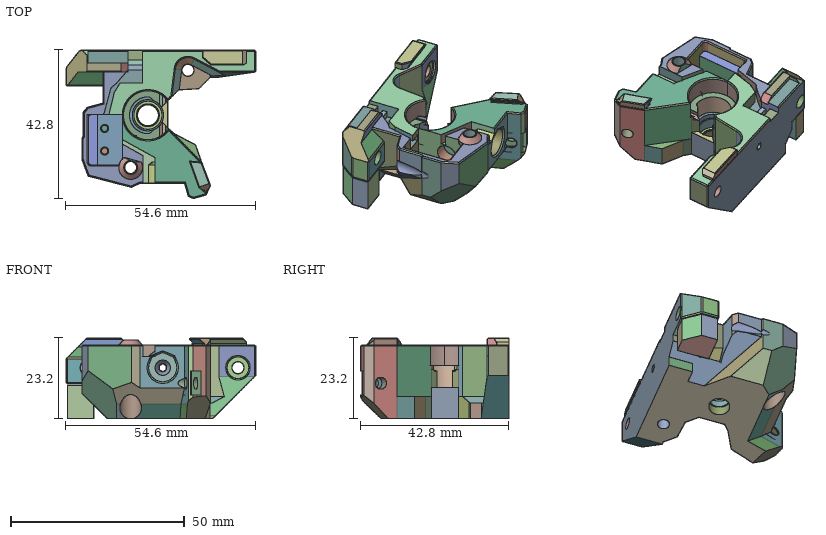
import cadquery as cq
import math


LENGTH = 54.63
DEPTH = 42.77
HEIGHT = 23.2
DECK_Z = HEIGHT - 2.0
EDGE = 0.35
BIG = 200.0
SCREW_Z = 14.65

LEG_X = 10.6
WALL_X = 4.52
WALL_STEP_X = 4.94
WALL_STEP_Y = 17.4
FRONT_Y = 4.4
WING_FRONT_Y = 36.4
THROAT_X = 29.3
THROAT_BACK_Y = 28.16
THROAT_FRONT_Y = 20.36
BORE = (23.57, 24.0)
ARM_TIP = (41.6, 3.8)
ARM_ROOT = (39.05, 10.5)
ARM_LEFT_ROOT = (34.1, FRONT_Y)
ARM_LEFT_TIP = (35.2, 0.65)

REAR_SCREW = (35.1, 36.96)
REAR_POCKET_R = 3.65
REAR_POCKET_LEDGE_Z = 6.35
REAR_POCKET_FLOOR_Z = 4.5
SCREW_HOLE_D = 3.4
WALL_END = (44.0, WING_FRONT_Y)
WALL_LEFT_ANGLE = 175.0
WALL_RIGHT_ANGLE = 61.0


def half_space(point, outward):
    """Large block that fills the outward side of a plane."""
    x_dir = (0, 1, 0) if outward[1] == 0 else (outward[1], -outward[0], 0)
    plane = cq.Plane(origin=point, xDir=x_dir, normal=outward)
    return cq.Workplane(plane).rect(2 * BIG, 2 * BIG).extrude(BIG)


def box(x0, x1, y0, y1, z0, z1):
    return cq.Workplane("XY").box(x1 - x0, y1 - y0, z1 - z0, centered=False).translate((x0, y0, z0))


def prism(points, z0, z1):
    return cq.Workplane("XY").workplane(offset=z0).polyline(points).close().extrude(z1 - z0)


def cylinder(center, diameter, z0, z1):
    return cq.Workplane("XY").workplane(offset=z0).center(*center).circle(diameter / 2).extrude(z1 - z0)


def rod(start, direction, diameter, length, end_diameter=None):
    """Cylinder, or cone when an end diameter is given, along any direction."""
    base = cq.Vector(*start)
    axis = cq.Vector(*direction)
    if end_diameter is None:
        solid = cq.Solid.makeCylinder(diameter / 2, length, base, axis)
    else:
        solid = cq.Solid.makeCone(diameter / 2, end_diameter / 2, length, base, axis)
    return cq.Workplane(solid)


def around_rear_screw(angle):
    a = math.radians(angle)
    return (REAR_SCREW[0] + REAR_POCKET_R * math.cos(a), REAR_SCREW[1] + REAR_POCKET_R * math.sin(a))


POCKET_LEFT = around_rear_screw(WALL_LEFT_ANGLE)
POCKET_TOP = around_rear_screw((WALL_LEFT_ANGLE + WALL_RIGHT_ANGLE) / 2)
POCKET_RIGHT = around_rear_screw(WALL_RIGHT_ANGLE)
POCKET_MOUTH = (30.5, 29.4)
ALONG_WALL = (WALL_END[0] - POCKET_RIGHT[0], WALL_END[1] - POCKET_RIGHT[1])


def deck_blank():
    """Full-height plan with a chamfered upper rim."""
    plan = (
        cq.Workplane("XY")
        .moveTo(LEG_X, DEPTH)
        .lineTo(LENGTH, DEPTH)
        .lineTo(LENGTH, WING_FRONT_Y)
        .lineTo(*WALL_END)
        .lineTo(*POCKET_RIGHT)
        .threePointArc(POCKET_TOP, POCKET_LEFT)
        .lineTo(*POCKET_MOUTH)
        .lineTo(THROAT_X, THROAT_BACK_Y)
        .lineTo(THROAT_X, THROAT_FRONT_Y)
        .lineTo(*ARM_ROOT)
        .lineTo(*ARM_TIP)
        .lineTo(40.3, 1.0)
        .lineTo(36.6, 0.0)
        .lineTo(*ARM_LEFT_TIP)
        .lineTo(*ARM_LEFT_ROOT)
        .lineTo(21.3, FRONT_Y)
        .lineTo(18.84, 3.23)
        .lineTo(6.35, 6.46)
        .lineTo(WALL_X, 11.36)
        .lineTo(WALL_X, WALL_STEP_Y)
        .lineTo(WALL_STEP_X, WALL_STEP_Y + WALL_STEP_X - WALL_X)
        .lineTo(WALL_STEP_X, 24.85)
        .lineTo(6.14, 26.3)
        .lineTo(LEG_X, 27.5)
        .close()
    )
    return plan.extrude(DECK_Z).edges("|Z and >X").chamfer(EDGE).faces(">Z").edges().chamfer(EDGE)


def rear_pocket_floor():
    """Low floor around the rear screw, with the sloping foot of the pocket wall."""
    floor_plan = [
        (28.0, 29.4), (THROAT_X, THROAT_BACK_Y), (32.4, 31.27), (38.2, 31.6), (41.4, 34.8),
        (41.4, 42.0), (30.0, 42.0),
    ]
    return prism(floor_plan, 0, REAR_POCKET_LEDGE_Z)


def rear_pocket_foot():
    """Tapered void below the upright pocket wall."""
    far_end = (WALL_END[0] + ALONG_WALL[0], WALL_END[1] + ALONG_WALL[1])
    mouth_y = 20.0
    return (
        cq.Workplane("XY")
        .workplane(offset=REAR_POCKET_LEDGE_Z)
        .moveTo(*POCKET_LEFT)
        .threePointArc(POCKET_TOP, POCKET_RIGHT)
        .lineTo(*far_end)
        .lineTo(far_end[0], mouth_y)
        .lineTo(POCKET_MOUTH[0], mouth_y)
        .lineTo(*POCKET_MOUTH)
        .close()
        .extrude(REAR_POCKET_FLOOR_Z - REAR_POCKET_LEDGE_Z, taper=45)
    )


def right_wing_flare():
    """The right wing thickens towards the front below its screw face."""
    flare_top_z = 12.1
    flare_foot_z = 0.9
    flare_y = 34.8
    profile = [
        (DEPTH, 0), (flare_y, 0), (flare_y, flare_foot_z), (WING_FRONT_Y, flare_top_z), (DEPTH, flare_top_z),
    ]
    flare_left_x = 41.0
    flare = cq.Workplane("YZ").workplane(offset=flare_left_x).polyline(profile).close()
    flare = flare.extrude(LENGTH - flare_left_x)
    pocket_side = half_space((*WALL_END, 0), (ALONG_WALL[1], -ALONG_WALL[0], 0))
    above_ledge = pocket_side.intersect(half_space((0, 0, REAR_POCKET_LEDGE_Z), (0, 0, 1)))
    return flare.cut(above_ledge)


def arm_ledge():
    """Low shelf on the right of the arm."""
    ledge_plan = [
        (28.0, THROAT_FRONT_Y), (THROAT_X, THROAT_FRONT_Y), (31.16, 18.7), (37.3, 15.5),
        ARM_ROOT, (36.0, 10.5),
    ]
    return prism(ledge_plan, 0, REAR_POCKET_LEDGE_Z)


def cut_bevels(body):
    arm_dx = ARM_LEFT_TIP[0] - ARM_LEFT_ROOT[0]
    arm_dy = ARM_LEFT_TIP[1] - ARM_LEFT_ROOT[1]
    left_of_arm = half_space((*ARM_LEFT_ROOT, 0), (arm_dy, -arm_dx, 0))

    lean_top_z = 8.84
    knee_y = 7.85
    knee_z = 4.17
    steep = half_space((0, FRONT_Y, lean_top_z), (0, knee_z - lean_top_z, FRONT_Y - knee_y))
    shallow = half_space((0, knee_y, knee_z), (0, -1, -1))
    body = body.cut(steep.intersect(left_of_arm)).cut(shallow.intersect(left_of_arm))
    arm_lean = 0.22
    lean_drop = arm_lean * math.hypot(arm_dx, arm_dy)
    under_arm = half_space((*ARM_LEFT_ROOT, knee_z), (arm_dy, -arm_dx, -lean_drop))
    body = body.cut(under_arm.intersect(shallow).intersect(half_space((0, 0, knee_z), (0, 0, -1))))

    side_z = 7.33
    corner_sum = 26.6
    right_x = 42.2
    body = body.cut(half_space((WALL_X, 0, side_z), (-1, 0, -1)))
    body = body.cut(half_space((corner_sum, 0, 0), (-1, -1, -1)))
    tip_dx = ARM_TIP[0] - ARM_ROOT[0]
    tip_dy = ARM_TIP[1] - ARM_ROOT[1]
    tip_bevel_z = 6.2
    body = body.cut(half_space((36.6, 0, tip_bevel_z), (tip_dx, tip_dy, -math.hypot(tip_dx, tip_dy))))
    body = body.cut(half_space((right_x, 0, 0), (1, 0, -1)))

    roof_sum = 17.8
    hollow_back_y = 35.6
    foot_x = 14.0
    leg_bevel_z = 10.4
    leg_bevel = half_space((LEG_X, 27.5, leg_bevel_z), (-1, -0.44, -1))
    leg_bevel_end_z = 5.65
    leg = box(LEG_X, 20.0, 27.5, hollow_back_y, leg_bevel_end_z, leg_bevel_z)
    under_roof = half_space((roof_sum, 0, 0), (-1, 0, -1))
    diagonal = half_space((WALL_X, WALL_STEP_Y, 0), (-1, 1, 0))
    front_part = box(0, roof_sum, 0, hollow_back_y, 0, DECK_Z)
    back_part = box(0, foot_x, hollow_back_y, DEPTH, 0, DECK_Z)
    body = body.cut(under_roof.intersect(diagonal).intersect(front_part))
    return body.cut(under_roof.intersect(back_part)).cut(leg_bevel.intersect(diagonal).intersect(leg))


WING_BOTTOM_Z = 10.05
LEFT_WING_FRONT_Y = 32.4
WING_CORNER = (3.98, 37.7)
RAIL_FRONT_Y = 36.4
RAIL_END_X = 17.8
RAIL_LEFT_X = 6.0
END_SLOPE_X = RAIL_LEFT_X - HEIGHT


def left_wing():
    """Mounting wing with a sloping eave, a sloping left end and a rail on top."""
    root_x = 12.0
    shoulder_y = 36.9
    shoulder_z = 21.0
    eave_z = 17.5
    strip_y = 39.1
    strip_step = 1.1
    rail_end_top_x = RAIL_END_X - (HEIGHT - DECK_Z)
    plan = [
        (0, LEFT_WING_FRONT_Y), (0, WING_CORNER[1]), (WING_CORNER[0], DEPTH), (RAIL_END_X, DEPTH),
        (RAIL_END_X, RAIL_FRONT_Y), (LEG_X, RAIL_FRONT_Y), (LEG_X, LEFT_WING_FRONT_Y),
    ]
    wing = prism(plan, WING_BOTTOM_Z, HEIGHT)
    lower_outer_edges = cq.selectors.BoxSelector((-1, 0, 0), (5.8, DEPTH + 1, HEIGHT - 6))
    wing = wing.edges(lower_outer_edges).chamfer(EDGE)
    in_front_of_rail = box(0, root_x, 0, RAIL_FRONT_Y, 0, HEIGHT)
    eave_normal = (0, eave_z - shoulder_z, shoulder_y - LEFT_WING_FRONT_Y)
    eave = half_space((0, LEFT_WING_FRONT_Y, eave_z), eave_normal)
    wing = wing.cut(eave.intersect(in_front_of_rail))
    wing = wing.cut(half_space((END_SLOPE_X, 0, 0), (-1, 0, 1)))
    eave_edge = cq.selectors.BoxSelector((3, 0, eave_z - 1), (7, RAIL_FRONT_Y - 1, eave_z + 1))
    wing = wing.edges(eave_edge).chamfer(EDGE)
    wing = wing.cut(box(RAIL_LEFT_X + EDGE, RAIL_END_X, strip_y, DEPTH, HEIGHT - strip_step, HEIGHT))
    front_strip = box(rail_end_top_x, RAIL_END_X, 0, strip_y, 0, HEIGHT)
    wing = wing.cut(half_space((RAIL_END_X, 0, DECK_Z), (1, 0, 1)).intersect(front_strip))
    rail_edge = half_space((0, RAIL_FRONT_Y, HEIGHT - EDGE), (0, -1, 1))
    back_edge = half_space((0, DEPTH - EDGE, HEIGHT - strip_step), (0, 1, 1))
    rail = box(0, RAIL_END_X, RAIL_FRONT_Y, DEPTH, DECK_Z, HEIGHT)
    return wing.cut(rail_edge.intersect(rail)).cut(back_edge)


RAIL_EDGE = 0.25


def right_rail():
    """Rail on the right wing with an undercut front face."""
    left_x = 39.25
    right_x = 52.0
    front_y = 38.5
    corner = 2.4
    undercut = 0.8
    neck_z = DECK_Z + 0.4
    lip_z = HEIGHT - EDGE
    plan = [
        (left_x, DEPTH), (left_x, front_y + corner - 0.3), (left_x + corner, front_y),
        (right_x, front_y), (right_x, DEPTH),
    ]
    rail = prism(plan, DECK_Z, HEIGHT).faces(">Z").edges().chamfer(RAIL_EDGE)
    groove_profile = [
        (front_y - 1, lip_z), (front_y, lip_z), (front_y + undercut, neck_z), (front_y + undercut, DECK_Z),
        (front_y - 1, DECK_Z),
    ]
    groove = cq.Workplane("YZ").workplane(offset=left_x).polyline(groove_profile).close()
    groove = groove.extrude(right_x - left_x)
    end_drop = 1.2
    return rail.cut(groove).cut(half_space((right_x, 0, HEIGHT - end_drop), (1, 0, 1)))


def arm_rail():
    """Rail along the outer edge of the arm with an undercut inner face."""
    inner_root = (35.5, 10.8)
    inner_tip = (38.2, 3.25)
    undercut = 0.8
    plan = [inner_root, ARM_ROOT, ARM_TIP, (40.3, 1.5), inner_tip]
    rail = prism(plan, DECK_Z, HEIGHT).faces(">Z").edges().chamfer(RAIL_EDGE)
    dx = inner_tip[0] - inner_root[0]
    dy = inner_tip[1] - inner_root[1]
    under = half_space((*inner_root, HEIGHT - EDGE), (dy, -dx, -math.hypot(dx, dy)))
    neck = half_space((inner_root[0] + undercut, inner_root[1], 0), (dy, -dx, 0)).union(
        half_space((inner_root[0], inner_root[1], DECK_Z + 0.4), (0, 0, 1)))
    tip_slope = half_space((*inner_tip, HEIGHT), (dx, dy, math.hypot(dx, dy)))
    return rail.cut(under.intersect(neck)).cut(tip_slope)


FRONT_SCREW = (18.6, 8.95)


def front_screw_boss():
    """Cone that stands on the deck around the front screw."""
    base_d = 6.85
    top_d = 4.0
    cone_height = 1.5
    skirt = 1.2
    cone = rod((*FRONT_SCREW, DECK_Z), (0, 0, 1), base_d, cone_height, top_d)
    cone = cone.cut(half_space((19.2, 11.2, DECK_Z), (0.27, 0.96, 0.3)))
    return cone.union(cylinder(FRONT_SCREW, base_d, DECK_Z - skirt, DECK_Z))


TENSION_X = 27.84
TENSION_END_Y = 10.5


def spring_barrel():
    """Wall around the spring bore that shows inside the front notch."""
    barrel_d = 10.4
    nose = 0.8
    length = TENSION_END_Y - FRONT_Y - nose
    start = (TENSION_X, FRONT_Y, SCREW_Z)
    nose_start = (TENSION_X, TENSION_END_Y - nose, SCREW_Z)
    barrel = rod(start, (0, 1, 0), barrel_d, length)
    return barrel.union(rod(nose_start, (0, 1, 0), barrel_d, nose, barrel_d - 2 * nose))


CHANNEL_Z = 17.2


def drive_bore():
    """Stepped vertical bore, open to the right through the throat."""
    recess_z = 15.3
    recess_d = 14.1
    floor_z = 9.0
    steps = [
        (recess_d, recess_z, DECK_Z), (9.0, 7.5, recess_z), (8.1, 4.0, 7.5), (6.6, 3.7, 4.0), (6.0, 0.0, 3.7),
    ]
    bore = rod((*BORE, DECK_Z - EDGE), (0, 0, 1), recess_d, EDGE, recess_d + 2 * EDGE)
    for diameter, z0, z1 in steps:
        bore = bore.union(cylinder(BORE, diameter, z0, z1))
    corner_reach = 5.8
    seat = cylinder(BORE, 10.6, floor_z, recess_z)
    for side in (-1, 1):
        seat = seat.cut(half_space((BORE[0] + corner_reach, BORE[1], 0), (1, side, 0)))
    bore = bore.union(seat)
    inner_x = 27.6
    flare = THROAT_X - inner_x
    throat = [
        (BORE[0], THROAT_BACK_Y - flare), (inner_x, THROAT_BACK_Y - flare), (THROAT_X, THROAT_BACK_Y),
        (THROAT_X, THROAT_FRONT_Y), (inner_x, THROAT_FRONT_Y + flare), (BORE[0], THROAT_FRONT_Y + flare),
    ]
    return bore.union(prism(throat, floor_z, recess_z))


def board_pocket():
    """Deep pocket with a raised shelf on the left and two small blind holes."""
    left_x = 6.4
    right_x = 16.25
    front_y = 9.7
    back_y = 24.2
    shelf_x = 9.0
    floor_z = 10.0
    corner_r = 1.0
    hole_x = 11.1
    hole_depth = 4.0
    pilot_d = 1.8
    pilot_rim_d = 2.3
    pocket = box(left_x, right_x, front_y, back_y, CHANNEL_Z, DECK_Z).edges("|Z and <X").fillet(corner_r)
    rim_outline = cq.Sketch().rect(2 * (right_x - left_x + EDGE), 2 * (back_y - front_y + EDGE))
    rim_outline = rim_outline.vertices().fillet(corner_r + EDGE)
    rim = cq.Workplane("XY").workplane(offset=DECK_Z).center(right_x, back_y)
    rim = rim.placeSketch(rim_outline).extrude(-EDGE, taper=45)
    rim = rim.intersect(box(0, right_x, 0, back_y, 0, HEIGHT))
    pocket = pocket.union(rim).union(box(shelf_x, right_x, front_y, back_y, floor_z, DECK_Z))
    for hole_y in (20.2, 13.7):
        pocket = pocket.union(cylinder((hole_x, hole_y), pilot_d, floor_z - hole_depth, floor_z))
        lead_in = (pilot_rim_d - pilot_d) / 2
        rim_start = (hole_x, hole_y, floor_z - lead_in)
        pocket = pocket.union(rod(rim_start, (0, 0, 1), pilot_d, lead_in, pilot_rim_d))
    tunnel_d = 5.9
    tunnel_y = 15.2
    return pocket.union(rod((right_x, tunnel_y, SCREW_Z), (1, 0, 0), tunnel_d, 4.0))


def wire_channel():
    """Channel from the rear slot round to the board pocket."""
    slot_left = RAIL_END_X
    slot_right = 22.0
    slot_front = 33.3
    path = [
        (slot_left, 37.0), (14.6, slot_front), (12.9, 31.8), (10.8, 24.0), (12.3, 24.0), (13.9, 30.6),
        (15.6, slot_front), (slot_right, slot_front), (slot_right, 37.0),
    ]
    channel = prism(path, CHANNEL_Z, DECK_Z)
    channel = channel.union(box(10.8, 15.6, 24.0, 27.0, CHANNEL_Z, 19.2))
    for y0, y1, floor_z in [(37.0, 38.4, 19.0), (38.4, 39.9, CHANNEL_Z), (39.9, DEPTH, 20.0)]:
        channel = channel.union(box(slot_left, slot_right, y0, y1, floor_z, HEIGHT))
    return channel


def front_channel():
    """Diagonal slit from the board pocket that widens into a notch in the front face."""
    notch_left = 22.1
    notch_right = 25.6
    floor_z = 17.9
    path = [
        (16.2, 17.0), (notch_right, 11.8), (notch_right, 0), (notch_left, 0),
        (notch_left, 12.4), (16.2, 15.7),
    ]
    return prism(path, floor_z, DECK_Z).cut(spring_barrel())


def flat_top(diameter, length, taper=0):
    """Octagon inscribed around the spring bore's upper half, which squares off its crown."""
    plane = cq.Plane(origin=(TENSION_X, FRONT_Y, SCREW_Z), xDir=(-1, 0, 0), normal=(0, 1, 0))
    octagon = cq.Workplane(plane).transformed(rotate=(0, 0, 22.5)).polygon(8, diameter, circumscribed=True)
    upper = box(0, LENGTH, 0, DEPTH, SCREW_Z + diameter / 4, HEIGHT)
    return octagon.extrude(length, taper=taper).intersect(upper)


def tension_bore():
    """Spring bore in the front face with a screw hole and a hexagonal through hole."""
    x = TENSION_X
    bore_d = 8.1
    rim_d = 9.0
    screw_d = 4.4
    screw_end_y = 14.0
    hex_d = 2.3
    lead_in = (rim_d - bore_d) / 2
    bore = rod((x, FRONT_Y, SCREW_Z), (0, 1, 0), bore_d, TENSION_END_Y - FRONT_Y)
    bore = bore.union(flat_top(bore_d, TENSION_END_Y - FRONT_Y))
    bore = bore.union(rod((x, FRONT_Y, SCREW_Z), (0, 1, 0), rim_d, lead_in, bore_d))
    bore = bore.union(flat_top(rim_d, lead_in, taper=45))
    screw_start = (x, TENSION_END_Y, SCREW_Z)
    bore = bore.union(rod(screw_start, (0, 1, 0), screw_d, screw_end_y - TENSION_END_Y, hex_d))
    plane = cq.Plane(origin=(x, FRONT_Y, SCREW_Z), xDir=(0, 0, 1), normal=(0, 1, 0))
    return bore.union(cq.Workplane(plane).polygon(6, hex_d).extrude(DEPTH - FRONT_Y))


def front_screw_hole():
    """Vertical screw hole with a head bore from below."""
    head_d = 6.25
    head_end_z = 14.0
    return cylinder(FRONT_SCREW, SCREW_HOLE_D, 0, HEIGHT).union(cylinder(FRONT_SCREW, head_d, 0, head_end_z))


def wing_screw_holes():
    """Mounting holes through both wings, and the slanted tool groove in the left wall."""
    left_x = 6.2
    right_x = 49.5
    left_d = 4.2
    seat_d = 6.25
    seat_rim_d = 7.05
    seat_depth = 0.8
    right = rod((right_x, WING_FRONT_Y, SCREW_Z), (0, 1, 0), SCREW_HOLE_D, DEPTH)
    seat_start = (right_x, WING_FRONT_Y - seat_depth, SCREW_Z)
    seat = rod(seat_start, (0, 1, 0), seat_d, 2 * seat_depth)
    rim = rod((right_x, WING_FRONT_Y, SCREW_Z), (0, 1, 0), seat_rim_d, (seat_rim_d - seat_d) / 2, seat_d)
    left = rod((left_x, LEFT_WING_FRONT_Y, SCREW_Z), (0, 1, 0), left_d, DEPTH)
    groove_start = (5.1, 31.0, SCREW_Z)
    groove_d = 4.4
    groove_lean = -0.18
    groove = rod(groove_start, (groove_lean, -1, 0), groove_d, 20.0)
    return right.union(seat).union(rim).union(left).union(groove)


def arm_screw():
    """Cross hole through the arm with a nut slot entered from the tip."""
    z = 10.2
    crossing = (36.0, 4.0)
    nut_width = 2.8
    nut_height = 6.9
    nut_depth = 3.2
    dx = ARM_TIP[0] - ARM_ROOT[0]
    dy = ARM_TIP[1] - ARM_ROOT[1]
    reach = 8.0
    span = math.hypot(dx, dy)
    across = (-dy / span, dx / span, 0)
    start = (crossing[0] - reach * across[0], crossing[1] - reach * across[1], z)
    hole = rod(start, across, SCREW_HOLE_D, 2 * reach)
    plane = cq.Plane(origin=(*crossing, z), xDir=across, normal=(dx, dy, 0))
    slot = cq.Workplane(plane).workplane(offset=-nut_depth).rect(nut_width, nut_height)
    slot = slot.extrude(reach + nut_depth)
    return hole.union(slot)


def make_housing():
    body = deck_blank().union(rear_pocket_floor()).union(right_wing_flare()).union(arm_ledge())
    body = body.cut(rear_pocket_foot())
    body = cut_bevels(body)
    body = body.union(left_wing()).union(right_rail()).union(arm_rail())
    body = body.cut(board_pocket()).union(front_screw_boss())
    for void in (drive_bore(), wire_channel(), front_channel(), tension_bore(), front_screw_hole(),
                 wing_screw_holes(), arm_screw()):
        body = body.cut(void)
    return body.cut(cylinder(REAR_SCREW, SCREW_HOLE_D, 0, REAR_POCKET_LEDGE_Z))


def make_wing_support():
    inset = 0.4
    gap = 0.4
    right_x = 8.0
    plan = [
        (inset, LEFT_WING_FRONT_Y + inset), (inset, WING_CORNER[1]), (WING_CORNER[0], DEPTH - inset),
        (right_x, DEPTH - inset), (right_x, LEFT_WING_FRONT_Y + inset),
    ]
    return prism(plan, 0, WING_BOTTOM_Z - gap)


housing = make_housing()
wing_support = make_wing_support()
result = cq.Compound.makeCompound([housing.val(), wing_support.val()])